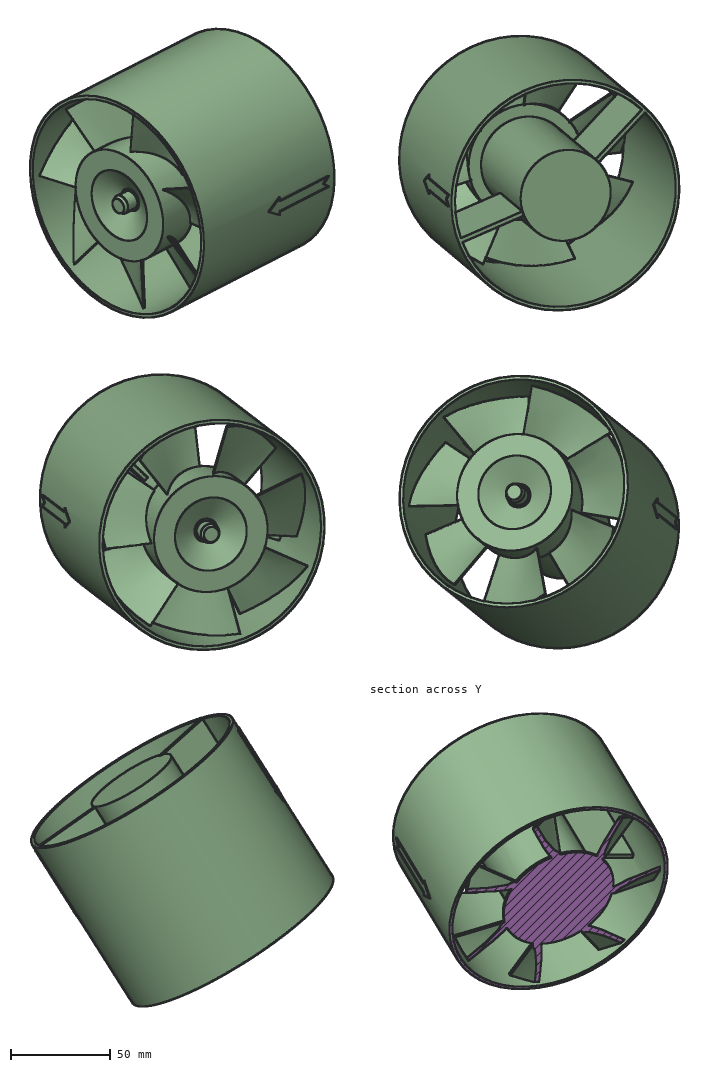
import cadquery as cq
import math

overall_length = 97.5
motor_overhang = 0.5
duct_length = overall_length - motor_overhang
front_y = -overall_length / 2

duct_diameter = 119.6
duct_wall = 1.9
duct_radius = duct_diameter / 2
bore_radius = duct_radius - duct_wall

arrow_span = 120.4
arrow_shaft_half = 3.0
arrow_head_half = 5.0
arrow_tip_depth = 47.8
arrow_head_depth = 56.1
arrow_notch_depth = 88.5
arrow_tail_depth = 92.4

hub_radius = 30.1
hub_front_depth = 1.8
hub_back_depth = 24.1
recess_mouth_radius = 19.0
recess_floor_radius = 6.0
recess_floor_depth = 9.9
shaft_radius = 4.9
shaft_tip_radius = 4.0
shaft_tip_depth = 1.0
shaft_chamfer_length = 2.0

blade_count = 7
blade_thickness = 1.5
blade_root_overlap = 0.6
blade_root_radius = hub_radius - blade_root_overlap
blade_tip_radius = 55.6
root_lead_angle = -70.0
root_sweep = 47.6
root_depths = (6.7, 18.4, 22.6)
tip_lead_angle = -73.5
tip_sweep = 42.0
tip_depths = (2.4, 17.8, 28.9)

motor_radius = 23.6
strut_thickness = 2.4
strut_front_depth = arrow_head_depth
strut_angles = (135.0, -20.0)
wall_overlap = duct_wall / 2


def cylinder(radius, start_depth, end_depth):
    """Cylinder on the fan axis between two depths."""
    base = cq.Vector(0, front_y + start_depth, 0)
    return cq.Workplane(cq.Solid.makeCylinder(radius, end_depth - start_depth, base, cq.Vector(0, 1, 0)))


def revolve_profile(points):
    """Turn (radius, depth) points about the fan axis."""
    outline = [(radius, front_y + depth) for radius, depth in points]
    return cq.Workplane("XY").polyline(outline).close().revolve(360, (0, 0, 0), (0, 1, 0))


def make_duct():
    return cylinder(duct_radius, 0, duct_length).cut(cylinder(bore_radius, 0, duct_length))


def make_arrows():
    """Arrows pointing to the front rim, standing proud of the duct skin."""
    half_outline = [
        (arrow_head_depth, arrow_head_half),
        (arrow_head_depth, arrow_shaft_half),
        (arrow_tail_depth, arrow_shaft_half),
    ]
    upper = [(front_y + depth, height) for depth, height in half_outline]
    lower = [(y, -height) for y, height in reversed(upper)]
    tip = (front_y + arrow_tip_depth, 0)
    notch = (front_y + arrow_notch_depth, 0)
    prism = cq.Workplane("YZ").polyline([tip] + upper + [notch] + lower).close().extrude(arrow_span, both=True)
    skin = cylinder(arrow_span / 2, 0, duct_length).cut(cylinder(duct_radius - wall_overlap, 0, duct_length))
    return prism.intersect(skin)


def make_hub():
    """Hub, its conical recess and the shaft standing in the recess, as one turned body."""
    return revolve_profile([
        (0, shaft_tip_depth),
        (shaft_tip_radius, shaft_tip_depth),
        (shaft_radius, shaft_tip_depth + shaft_chamfer_length),
        (shaft_radius, recess_floor_depth),
        (recess_floor_radius, recess_floor_depth),
        (recess_mouth_radius, hub_front_depth),
        (hub_radius, hub_front_depth),
        (hub_radius, hub_back_depth),
        (0, hub_back_depth),
    ])


def blade_curve(radius, lead_angle, sweep, depths, offset):
    """Curve along a blade at one radius, from the leading to the trailing edge."""
    points = []
    for step, depth in enumerate(depths):
        angle = math.radians(lead_angle - sweep * step / (len(depths) - 1))
        points.append(cq.Vector(radius * math.cos(angle), front_y + depth + offset, radius * math.sin(angle)))
    return cq.Edge.makeSpline(points)


def make_blade():
    """Twisted blade: two ruled faces set apart along the axis, closed by ruled rims."""
    root_front, root_back = [
        blade_curve(blade_root_radius, root_lead_angle, root_sweep, root_depths, offset)
        for offset in (0, blade_thickness)
    ]
    tip_front, tip_back = [
        blade_curve(blade_tip_radius, tip_lead_angle, tip_sweep, tip_depths, offset)
        for offset in (0, blade_thickness)
    ]
    front_lead, front_trail, back_lead, back_trail = [
        cq.Edge.makeLine(root.positionAt(end), tip.positionAt(end))
        for root, tip in ((root_front, tip_front), (root_back, tip_back))
        for end in (0, 1)
    ]
    edge_pairs = [
        (root_front, tip_front),
        (root_back, tip_back),
        (root_front, root_back),
        (tip_front, tip_back),
        (front_lead, back_lead),
        (front_trail, back_trail),
    ]
    faces = [cq.Face.makeRuledSurface(first, second) for first, second in edge_pairs]
    return cq.Workplane(cq.Solid.makeSolid(cq.Shell.makeShell(faces)).fix())


def make_strut(angle):
    """Flat radial strut from inside the motor into the duct wall."""
    inner = motor_radius / 2
    outer = bore_radius + wall_overlap
    depth_length = duct_length - strut_front_depth
    strut = cq.Workplane("XY").box(outer - inner, depth_length, strut_thickness, centered=(False, False, True))
    strut = strut.translate((inner, front_y + strut_front_depth, 0))
    return strut.rotate((0, 0, 0), (0, 1, 0), -angle)


result = make_duct().union(make_arrows())
result = result.union(cylinder(motor_radius, hub_back_depth, overall_length))
for strut_angle in strut_angles:
    result = result.union(make_strut(strut_angle))

result = result.union(make_hub())
blade = make_blade()
for index in range(blade_count):
    result = result.union(blade.rotate((0, 0, 0), (0, 1, 0), index * 360 / blade_count))